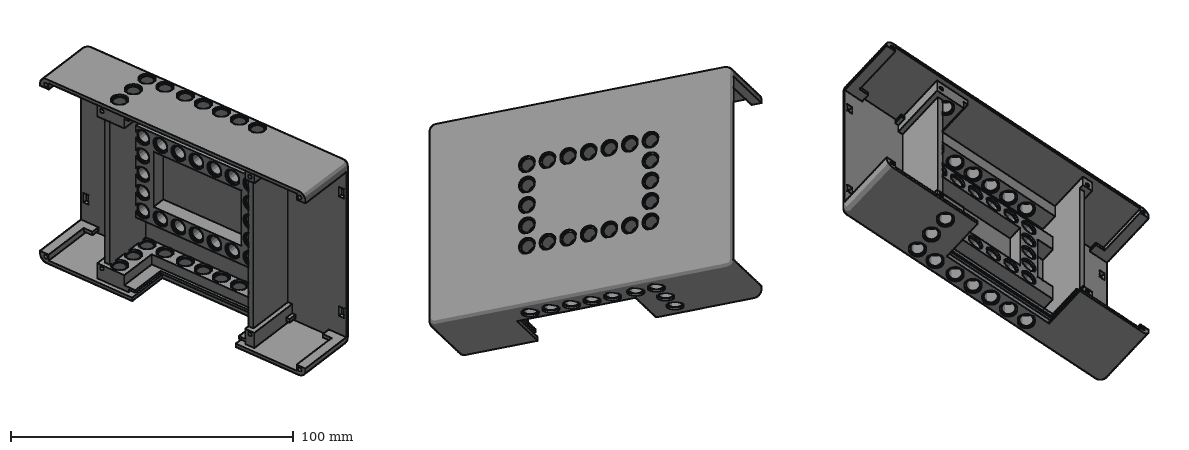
import cadquery as cq

length = 118.0
depth = 26.9
height = 80.0
half_length = length / 2
half_height = height / 2
edge_radius = 3.05
wall = 1.5
ceiling = half_height - wall

plate_thickness = 3.0
plate_front = depth - plate_thickness
bay_floor = 24.7

rail_inner_x = 55.1
rail_inner_z = 35.9

divider_inner_x = 30.8
divider_thickness = 2.2
divider_outer_x = divider_inner_x + divider_thickness
divider_front = 3.8
block_front = 1.85
block_outer_x = 34.9
block_inner_z = 31.9
short_block_inner_z = 33.1
left_block_inner_x = -22.9
left_shelf_inner_x = -21.0
shelf_z = 36.3

bar_front = 17.8
grid_front = 19.0
grid_half_height = 20.0
pocket_half_height = 12.0
grid_pocket_x = (-23.0, 16.0)
open_pocket_x = 24.0
bore_diameter = 4.9
counterbore_diameter = 6.2
counterbore_depth = 0.8
bore_pitch = 8.0
grid_left_x = -28.0
grid_columns = 7
grid_rows = 5
wall_row_x = (-28.0, -20.0, -11.0, -3.0, 5.0, 13.0, 21.0)
wall_row_y = 21.8
wall_column_extra_bores = 2

opening_left = -18.0
opening_right = 28.0
opening_back = 17.6
lip_back = 16.6
groove_top_z = -37.4

screw_diameter = 1.6
screw_depth = 10.0
corner_screw_inset = 2.6
block_screw_x = 32.9
top_screw_z = 35.1
bottom_screw_z = -33.3

tab_front = 20.4
tab_thickness = 1.5
outer_tab_length = 3.9
inner_tab_length = 1.5
slot_outer_x = 57.9
slot_inner_x = 55.7
slot_inner_z = 23.9
slot_outer_z = 28.0
slot_depth = 1.5


def box(x_range, y_range, z_range):
    """Box between the given limits; each pair may be in either order."""
    x0, x1 = sorted(x_range)
    y0, y1 = sorted(y_range)
    z0, z1 = sorted(z_range)
    return cq.Workplane("XY").box(x1 - x0, y1 - y0, z1 - z0, centered=False).translate((x0, y0, z0))


def cylinder(diameter, start, direction, reach):
    return cq.Workplane(cq.Solid.makeCylinder(diameter / 2, reach, cq.Vector(*start), cq.Vector(*direction)))


def stepped_bore(x, y, z, direction, reach):
    """Through bore, counterbored at both ends, starting at (x, y, z)."""
    axis = cq.Vector(*direction)
    start = cq.Vector(x, y, z)
    far_start = start + axis * (reach - counterbore_depth)
    bore = cylinder(bore_diameter, start.toTuple(), direction, reach)
    for end in (start, far_start):
        bore = bore.union(cylinder(counterbore_diameter, end.toTuple(), direction, counterbore_depth))
    return bore


def outer_body():
    body = box((-half_length, half_length), (0, depth), (-half_height, half_height))
    return body.edges("|Y").fillet(edge_radius).faces(">Y").edges().fillet(edge_radius)


def shell():
    """Back plate, top and bottom walls and corner rails; the two ends stay open."""
    body = outer_body()
    body = body.cut(box((-rail_inner_x, rail_inner_x), (0, plate_front), (-ceiling, ceiling)))
    body = body.cut(box((-half_length, half_length), (0, plate_front), (-rail_inner_z, rail_inner_z)))
    bay = box((-divider_inner_x, divider_inner_x), (plate_front, bay_floor), (-ceiling, ceiling))
    return body.cut(bay)


def dividers():
    walls = cq.Workplane("XY")
    for side in (-1, 1):
        walls = walls.add(box(
            (side * divider_inner_x, side * divider_outer_x),
            (divider_front, plate_front),
            (-ceiling, ceiling),
        ))
    return walls


def screw_blocks():
    """Four screw blocks beside the dividers, with a thin shelf layer at their inner ends."""
    blocks = cq.Workplane("XY")
    outside_y = (block_front, plate_front)
    bay_y = (block_front, bay_floor)
    right_inner_z = {-1: -block_inner_z, 1: short_block_inner_z}
    for side in (-1, 1):
        wall_z = side * ceiling
        left_z = (side * block_inner_z, wall_z)
        right_z = (right_inner_z[side], wall_z)
        blocks = blocks.add(box((-block_outer_x, -divider_inner_x), outside_y, left_z))
        blocks = blocks.add(box((-divider_inner_x, left_block_inner_x), bay_y, left_z))
        blocks = blocks.add(box((divider_inner_x, block_outer_x), outside_y, right_z))
    blocks = blocks.add(box((left_block_inner_x, left_shelf_inner_x), bay_y, (rail_inner_z, ceiling)))
    blocks = blocks.add(box((left_block_inner_x, divider_inner_x), bay_y, (-shelf_z, -ceiling)))
    return blocks


def holder_bars():
    bars = cq.Workplane("XY")
    for side in (-1, 1):
        bars = bars.add(box(
            (-divider_inner_x, divider_inner_x),
            (bar_front, bay_floor),
            (side * block_inner_z, side * ceiling),
        ))
    return bars


def holder_grid():
    y_range = (grid_front, bay_floor)
    pocket_z = (-pocket_half_height, pocket_half_height)
    grid = box((-divider_inner_x, divider_inner_x), y_range, (-grid_half_height, grid_half_height))
    grid = grid.cut(box(grid_pocket_x, y_range, pocket_z))
    return grid.cut(box((open_pocket_x, divider_inner_x), y_range, pocket_z))


def latch_tabs():
    tabs = cq.Workplane("XY")
    y_range = (tab_front, plate_front)
    for side_x in (-1, 1):
        for side_z in (-1, 1):
            z_range = (side_z * rail_inner_z, side_z * (rail_inner_z + tab_thickness))
            outer_x = (side_x * rail_inner_x, side_x * (rail_inner_x - outer_tab_length))
            inner_x = (side_x * block_outer_x, side_x * (block_outer_x + inner_tab_length))
            tabs = tabs.add(box(outer_x, y_range, z_range))
            tabs = tabs.add(box(inner_x, y_range, z_range))
    return tabs


def latch_slots():
    slots = cq.Workplane("XY")
    for side_x in (-1, 1):
        for side_z in (-1, 1):
            slots = slots.add(box(
                (side_x * slot_inner_x, side_x * slot_outer_x),
                (plate_front, plate_front + slot_depth),
                (side_z * slot_inner_z, side_z * slot_outer_z),
            ))
    return slots


def cover_opening():
    """Opening through the bottom wall with a wider groove between wall and lip."""
    lip = box((opening_left, opening_right), (0, lip_back), (-shelf_z, -ceiling))
    opening = box((opening_left, opening_right), (0, opening_back), (-ceiling, -half_height))
    groove = box(
        (left_shelf_inner_x, divider_inner_x),
        (0, opening_back),
        (groove_top_z, -ceiling),
    )
    return lip.union(opening).union(groove)


def grid_bores():
    """Ring of bores around the grid pocket, through the grid and the back plate."""
    bores = cq.Workplane("XY")
    middle_row = (grid_rows - 1) / 2
    for column in range(grid_columns):
        for row in range(grid_rows):
            on_ring = column in (0, grid_columns - 1) or row in (0, grid_rows - 1)
            if on_ring:
                x = grid_left_x + column * bore_pitch
                z = (row - middle_row) * bore_pitch
                bores = bores.add(stepped_bore(x, grid_front, z, (0, 1, 0), depth - grid_front))
    return bores


def wall_bores():
    """Bores through the holder bars and left blocks and out of the top and bottom walls."""
    bores = cq.Workplane("XY")
    reach = half_height - block_inner_z
    centers = [(x, wall_row_y) for x in wall_row_x]
    for step in range(1, wall_column_extra_bores + 1):
        centers.append((wall_row_x[0], wall_row_y - step * bore_pitch))
    for x, y in centers:
        bores = bores.add(stepped_bore(x, y, block_inner_z, (0, 0, 1), reach))
        bores = bores.add(stepped_bore(x, y, -block_inner_z, (0, 0, -1), reach))
    return bores


def screw_holes():
    holes = cq.Workplane("XY")
    corner_x = half_length - corner_screw_inset
    corner_z = half_height - corner_screw_inset
    for side in (-1, 1):
        for z in (-corner_z, corner_z):
            holes = holes.add(cylinder(screw_diameter, (side * corner_x, 0, z), (0, 1, 0), screw_depth))
        for z in (bottom_screw_z, top_screw_z):
            start = (side * block_screw_x, block_front, z)
            holes = holes.add(cylinder(screw_diameter, start, (0, 1, 0), screw_depth))
    return holes


def join(body, parts):
    for part in parts.vals():
        body = body.union(cq.Workplane(part))
    return body


def remove(body, parts):
    for part in parts.vals():
        body = body.cut(cq.Workplane(part))
    return body


result = shell()
for addition in (screw_blocks(), holder_bars(), holder_grid()):
    result = join(result, addition)
for removal in (grid_bores(), wall_bores()):
    result = remove(result, removal)
for addition in (dividers(), latch_tabs()):
    result = join(result, addition)
for removal in (latch_slots(), screw_holes()):
    result = remove(result, removal)
result = result.cut(cover_opening())